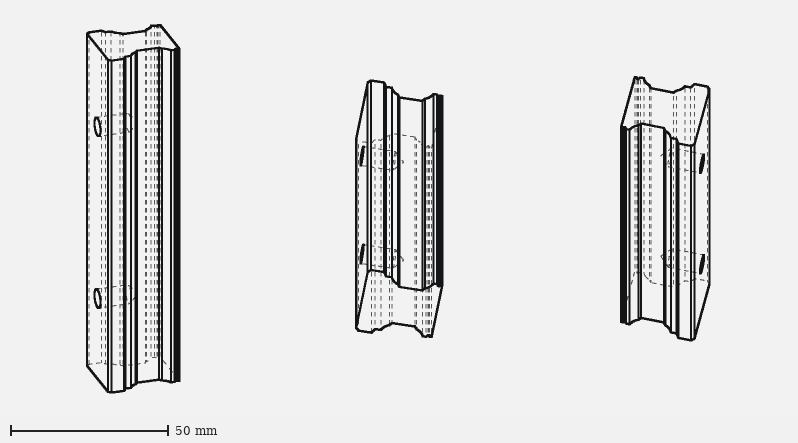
import cadquery as cq
import math

length = 116.0
base_width = 23.0
height = 24.2

base_half = base_width / 2
flange_half = 10.0
head_half = 9.7
notch_half = 9.3
waist_half = 6.8

bottom_chamfer = 0.9
shoulder_low_y = 5.1
shoulder_high_y = 6.0

raceway_mid_y = 14.6
raceway_outer_offset = 6.7
raceway_inner_offset = 4.4
raceway_inner_half = 7.8
raceway_radius = 4.0
waist_offset = 3.7

flange_top_y = 22.5
notch_low_y = 23.0
notch_high_y = 23.3
head_low_y = 23.5

hole_diameter = 6.0
hole_depth = 10.4
hole_tip_angle = 90.0
hole_pitch = 60.0
hole_count = 2
first_hole_z = 28.1


def raceway_middle(side):
    """Return the middle point of one concave raceway arc (side 1 above the waist, -1 below)."""
    rise = raceway_outer_offset - raceway_inner_offset
    run = flange_half - raceway_inner_half
    chord = math.hypot(run, rise)
    sagitta = raceway_radius - math.sqrt(raceway_radius**2 - (chord / 2) ** 2)
    x = (flange_half + raceway_inner_half) / 2 - sagitta * rise / chord
    offset = (raceway_outer_offset + raceway_inner_offset) / 2 + sagitta * run / chord
    return (x, raceway_mid_y + side * offset)


def half_profile():
    """Closed outline of the +X half of the rail section."""
    return (
        cq.Workplane("XY")
        .moveTo(0, 0)
        .lineTo(base_half - bottom_chamfer, 0)
        .lineTo(base_half, bottom_chamfer)
        .lineTo(base_half, shoulder_low_y)
        .lineTo(flange_half, shoulder_high_y)
        .lineTo(flange_half, raceway_mid_y - raceway_outer_offset)
        .threePointArc(raceway_middle(-1), (raceway_inner_half, raceway_mid_y - raceway_inner_offset))
        .lineTo(waist_half, raceway_mid_y - waist_offset)
        .lineTo(waist_half, raceway_mid_y + waist_offset)
        .lineTo(raceway_inner_half, raceway_mid_y + raceway_inner_offset)
        .threePointArc(raceway_middle(1), (flange_half, raceway_mid_y + raceway_outer_offset))
        .lineTo(flange_half, flange_top_y)
        .lineTo(notch_half, notch_low_y)
        .lineTo(notch_half, notch_high_y)
        .lineTo(head_half, head_low_y)
        .lineTo(head_half, height)
        .lineTo(0, height)
        .close()
    )


def mounting_hole(z):
    """Drill-shaped cutter entering the base face toward +Y at height z."""
    radius = hole_diameter / 2
    tip_depth = radius / math.tan(math.radians(hole_tip_angle / 2))
    return (
        cq.Workplane("XY")
        .moveTo(0, 0)
        .lineTo(radius, 0)
        .lineTo(radius, hole_depth)
        .lineTo(0, hole_depth + tip_depth)
        .close()
        .revolve(360, (0, 0, 0), (0, 1, 0))
        .translate((0, 0, z))
    )


half_rail = half_profile().extrude(length)
result = half_rail.union(half_rail.mirror("YZ")).clean()

for hole_index in range(hole_count):
    result = result.cut(mounting_hole(first_hole_z + hole_index * hole_pitch))